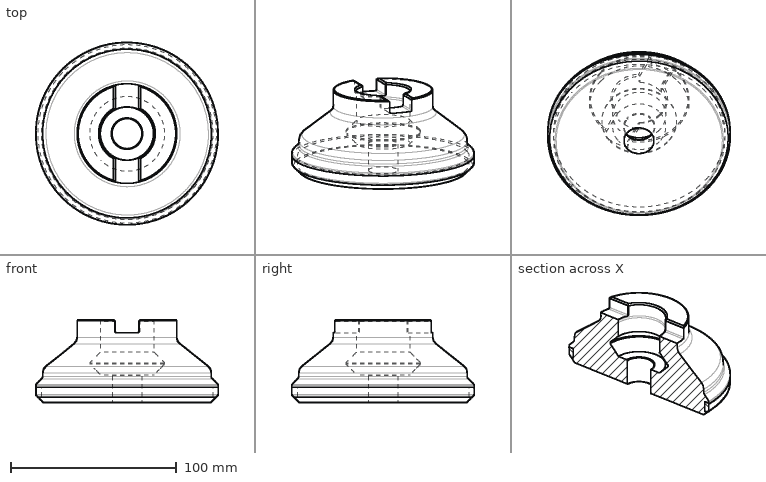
import cadquery as cq
import math

outer_radius = 55.0
total_height = 50.0
edge_round = 1.0

rim_bottom_z = 4.5
rim_top_z = 10.9
bottom_radius = outer_radius - rim_bottom_z

waist_radius = 101.6 / 2
waist_bottom_z = rim_top_z + outer_radius - waist_radius
waist_top_z = 20.5
waist_bottom_round = 1.9
cone_round = 5.0
boss_radius = 60.0 / 2
boss_bottom_z = 37.0
boss_chamfer = 0.7

bore_radius = 32.2 / 2
seat_radius = 32.0 / 2
bore_chamfer = 1.0
bore_end_z = 41.5
seat_start_z = 40.3

chamber_radius = 45.1 / 2
chamber_top_z = 30.7
chamber_wall_height = 0.8
chamber_cone_height = chamber_radius - seat_radius
chamber_wall_top_z = chamber_top_z - chamber_cone_height
chamber_wall_bottom_z = chamber_wall_top_z - chamber_wall_height
bore_floor_z = chamber_wall_bottom_z - chamber_cone_height

hole_radius = 18.0 / 2
hole_chamfer = 0.4

slot_width = 14.4
slot_depth = 7.9
slot_floor_z = total_height - slot_depth
slot_chamfer = 1.0
slot_floor_round = 0.8
slot_corner_chamfer = 0.4

band_bottom_z = 3.3
band_top_z = 9.2
band_inner_radius = 51.7


def revolve_profile(points):
    """Turn a closed (radius, z) outline about the Z axis."""
    return cq.Workplane("XZ").polyline(points).close().revolve(360, (0, 0), (0, 1))


def round_edge(solid, radius, z, size):
    """Round the circular edge that has the given radius and height."""
    corner = cq.selectors.BoxSelector(
        (-radius - 0.1, -radius - 0.1, z - 0.1), (radius + 0.1, radius + 0.1, z + 0.1)
    )
    return solid.edges(corner).fillet(size)


def make_wheel():
    """Outer turned shape, rounded and without openings."""
    wheel = revolve_profile([
        (0, 0),
        (bottom_radius, 0),
        (outer_radius, rim_bottom_z),
        (outer_radius, rim_top_z),
        (waist_radius, waist_bottom_z),
        (waist_radius, waist_top_z),
        (boss_radius, boss_bottom_z),
        (boss_radius, total_height),
        (0, total_height),
    ])
    for radius, z, size in [
        (bottom_radius, 0, edge_round),
        (outer_radius, rim_bottom_z, edge_round),
        (outer_radius, rim_top_z, edge_round),
        (waist_radius, waist_bottom_z, waist_bottom_round),
        (waist_radius, waist_top_z, cone_round),
        (boss_radius, boss_bottom_z, cone_round),
    ]:
        wheel = round_edge(wheel, radius, z, size)
    return wheel.faces(">Z").edges().chamfer(boss_chamfer)


def make_bore():
    """Stepped bore with a relief chamber at its foot and a through hole."""
    return revolve_profile([
        (0, 0),
        (hole_radius, 0),
        (hole_radius, bore_floor_z - hole_chamfer),
        (hole_radius + hole_chamfer, bore_floor_z),
        (seat_radius, bore_floor_z),
        (chamber_radius, chamber_wall_bottom_z),
        (chamber_radius, chamber_wall_top_z),
        (seat_radius, chamber_top_z),
        (seat_radius, seat_start_z),
        (bore_radius, bore_end_z),
        (bore_radius, total_height - bore_chamfer),
        (bore_radius + bore_chamfer, total_height),
        (0, total_height),
    ])


def make_slot():
    """Slot along Y with rounded floor corners and chamfered top edges."""
    half = slot_width / 2
    arc_inset = slot_floor_round * (1 - math.sqrt(0.5))
    return (
        cq.Workplane("XZ")
        .moveTo(-half - slot_chamfer, total_height)
        .lineTo(-half, total_height - slot_chamfer)
        .lineTo(-half, slot_floor_z + slot_floor_round)
        .threePointArc(
            (-half + arc_inset, slot_floor_z + arc_inset), (-half + slot_floor_round, slot_floor_z)
        )
        .lineTo(half - slot_floor_round, slot_floor_z)
        .threePointArc(
            (half - arc_inset, slot_floor_z + arc_inset), (half, slot_floor_z + slot_floor_round)
        )
        .lineTo(half, total_height - slot_chamfer)
        .lineTo(half + slot_chamfer, total_height)
        .close()
        .extrude(outer_radius, both=True)
    )


def make_band_space():
    """Square-cornered ring that separates the rim band from the hub."""
    band_height = band_top_z - band_bottom_z
    return (
        cq.Workplane("XY", origin=(0, 0, band_bottom_z))
        .circle(outer_radius + 1.1)
        .circle(band_inner_radius)
        .extrude(band_height)
    )


def make_slot_corner_cuts():
    """Four upright prisms that break the edges between the slot walls and the bore."""
    slot_x = slot_width / 2
    bore_x = slot_x + slot_corner_chamfer
    slot_y = math.sqrt(bore_radius**2 - slot_x**2) + slot_corner_chamfer
    bore_y = math.sqrt(bore_radius**2 - bore_x**2)
    start_z = slot_floor_z + slot_floor_round
    cuts = cq.Workplane("XY", origin=(0, 0, start_z))
    for x_side in (-1, 1):
        for y_side in (-1, 1):
            cuts = cuts.polyline([
                (x_side * slot_x, y_side * slot_y),
                (x_side * bore_x, y_side * bore_y),
                (x_side * slot_x, y_side * bore_y),
            ]).close()
    return cuts.extrude(total_height - start_z)


wheel = make_wheel()
band_space = make_band_space()
hub = wheel.cut(band_space).cut(make_bore()).cut(make_slot())
hub = hub.cut(make_slot_corner_cuts())
rim_band = wheel.intersect(band_space)

result = cq.Compound.makeCompound([hub.val(), rim_band.val()])